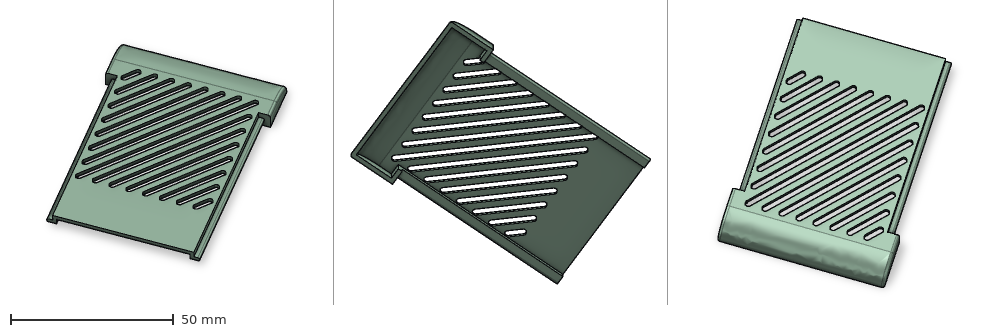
import cadquery as cq
import math

length = 76.5
width = 53.6
height = 5.4
wall = 1.45

head_length = 16.1
nose_length = 9.95
nose_upright_pull = 0.7
nose_level_pull = 0.47
edge_round = 0.9

plate_width = 45.9
leg_thickness = 1.3
rail_reach = 1.9
rail_drop = 2.1
rail_thickness = 1.4
rail_round = 0.65

slot_width = 2.0
shortest_run = 3.1
slots_per_side = 7
field_height = 48.05
field_gap = 1.6

back = length / 2
front = -length / 2
head_front = back - head_length
nose_start = back - nose_length
inner_width = plate_width - 2 * leg_thickness
field_top = nose_start - field_gap


def nose_solid(start, inset):
    """Nose-shaped solid from `start` to the nose, inset at its top, sides and nose end."""
    end = back - inset
    top = height - inset
    half_width = width / 2 - inset
    upright_pull = (end, top * nose_upright_pull)
    level_pull = (nose_start + (end - nose_start) * nose_level_pull, top)
    return (
        cq.Workplane("YZ", origin=(-half_width, 0, 0))
        .moveTo(start, 0)
        .lineTo(end, 0)
        .bezier([(end, 0), upright_pull, level_pull, (nose_start, top)])
        .lineTo(start, top)
        .close()
        .extrude(2 * half_width)
    )


def head_shell():
    """Head open at the bottom, its front wall cut away below the plate and between the legs."""
    block = nose_solid(head_front, 0)
    block = block.faces("<X or >X").edges("not(<Z or <Y)").fillet(edge_round)
    hollow = nose_solid(head_front + wall, wall)
    doorway = cq.Workplane("XY", origin=(0, head_front, 0)).box(
        inner_width, 2 * wall, height - wall, centered=(True, True, False)
    )
    return block.cut(hollow).cut(doorway)


def sliding_plate():
    """Plate with a leg and a round-edged rail along each side, ending in the head's front wall."""
    edge = plate_width / 2
    inner_edge = inner_width / 2
    tip = edge + rail_reach
    underside = height - wall
    rail_top = height - rail_drop
    rail_bottom = rail_top - rail_thickness
    return (
        cq.Workplane("XZ", origin=(0, head_front + wall, 0))
        .moveTo(-edge, height)
        .lineTo(edge, height)
        .lineTo(edge, rail_top)
        .lineTo(tip, rail_top)
        .lineTo(tip, rail_bottom)
        .lineTo(inner_edge, rail_bottom)
        .lineTo(inner_edge, underside)
        .lineTo(-inner_edge, underside)
        .lineTo(-inner_edge, rail_bottom)
        .lineTo(-tip, rail_bottom)
        .lineTo(-tip, rail_top)
        .lineTo(-edge, rail_top)
        .close()
        .extrude(head_front + wall - front)
        .faces("<X or >X")
        .edges("|Y")
        .fillet(rail_round)
    )


def slot_cutters():
    """Parallel slots; the longest joins two corners of the field, the rest step off to each side."""
    run = inner_width - slot_width
    rise = field_height - slot_width
    pitch = (run - shortest_run) / slots_per_side
    angle = math.degrees(math.atan2(rise, run))
    field_middle = field_top - field_height / 2

    cutters = cq.Workplane("XY")
    for step in range(-slots_per_side, slots_per_side + 1):
        remaining = 1 - abs(step) * pitch / run
        shift_x = step * pitch / 2
        shift_y = -shift_x * rise / run
        slot = (
            cq.Workplane("XY")
            .center(shift_x, field_middle + shift_y)
            .slot2D(math.hypot(run, rise) * remaining + slot_width, slot_width, angle)
            .extrude(height)
        )
        cutters = cutters.add(slot)
    return cutters.combine()


result = head_shell().union(sliding_plate()).cut(slot_cutters())